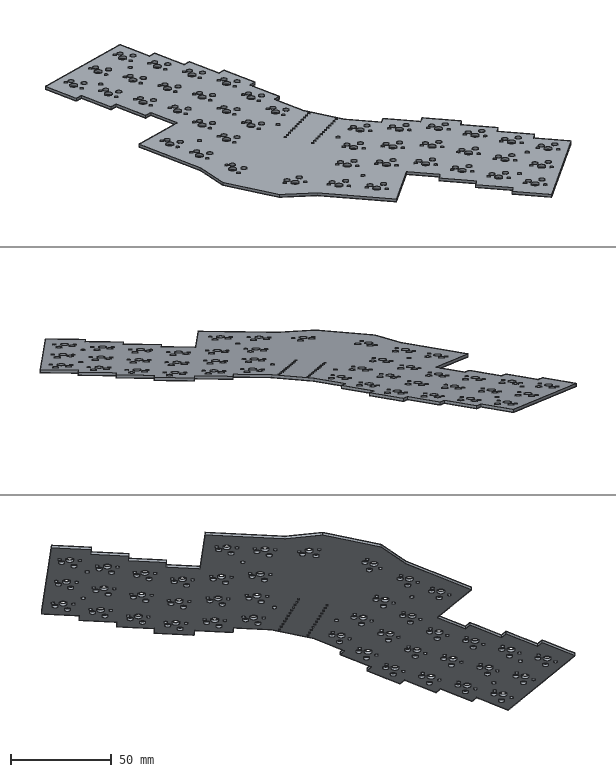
import cadquery as cq
import math


THICKNESS = 1.6
HALF_TILT = 15.0
TOP_EDGE_Y = 30.3
BOTTOM_EDGE_Y = -56.285
EDGE_MARGIN = 0.47

KEY_PITCH = 19.05
KEY_ROWS = 3
FIRST_COLUMN_U = 28.3
HOME_ROW_V = -2.64
COLUMN_STAGGER = 3.98
COLUMN_STEPS = (0, 1, 2, 1, 0, -1)

NOTCH_COLUMN = 2

THUMB_ROW_V = -43.46
THUMB_OUTER_U = 58.45
THUMB_COLUMNS_U = (27.8, 46.85)
INNER_THUMB_X = 17.07
INNER_THUMB_Y = -41.05
INNER_THUMB_TILT = 30.0
WIDE_KEY = 1.25 * KEY_PITCH

FOOTPRINT_GRID = 1.27
POST_DIAMETER = 4.0
POST_POINTS = ((0, 0),)
SIDE_PEG_DIAMETER = 1.75
SIDE_PEG_OFFSET = 4 * FOOTPRINT_GRID
SIDE_PEG_POINTS = ((-SIDE_PEG_OFFSET, 0), (SIDE_PEG_OFFSET, 0))
PIN_DIAMETER = 3.05
PIN_POINTS = (
    (-3 * FOOTPRINT_GRID, 2 * FOOTPRINT_GRID),
    (2 * FOOTPRINT_GRID, 4 * FOOTPRINT_GRID),
)

MOUNT_DIAMETER = 2.1

PERFORATION_DIAMETER = 1.1
PERFORATION_PITCH = 2.54
PERFORATION_COUNT = 12
PERFORATION_LINE_X = 7.5
LOWEST_PERFORATION_Y = 0.75

COLUMN_COUNT = len(COLUMN_STEPS)
HALF_COLUMN_HEIGHT = KEY_ROWS * KEY_PITCH / 2


def turned(u, v, tilt):
    """Turn the point (u, v) about the origin by tilt degrees."""
    angle = math.radians(tilt)
    x = u * math.cos(angle) - v * math.sin(angle)
    y = u * math.sin(angle) + v * math.cos(angle)
    return x, y


def column_u(column):
    return FIRST_COLUMN_U + column * KEY_PITCH


def column_v(column):
    """Height of the middle key of a column."""
    return HOME_ROW_V + COLUMN_STEPS[column] * COLUMN_STAGGER


def stepped_edge(columns, side):
    """Points in u, v along the column ends, inner to outer; side is +1 at the top, -1 below."""
    points = []
    for column, following in zip(columns, columns[1:]):
        end_v = column_v(column) + side * (HALF_COLUMN_HEIGHT + EDGE_MARGIN)
        next_v = column_v(following) + side * (HALF_COLUMN_HEIGHT + EDGE_MARGIN)
        boundary_u = column_u(column) + KEY_PITCH / 2
        if side * (end_v - next_v) > 0:
            step_u = boundary_u + EDGE_MARGIN
        else:
            step_u = boundary_u - EDGE_MARGIN
        points += [(step_u, end_v), (step_u, next_v)]
    return points


def half_outline():
    """Right-hand outline points in x, y, from the top edge round to the bottom edge."""
    last = COLUMN_COUNT - 1
    half_height = HALF_COLUMN_HEIGHT + EDGE_MARGIN
    outer_u = column_u(last) + KEY_PITCH / 2 + EDGE_MARGIN
    thumb_bottom_v = THUMB_ROW_V - KEY_PITCH / 2 - EDGE_MARGIN
    notch_v = column_v(NOTCH_COLUMN) - half_height

    tilt = math.radians(HALF_TILT)
    inner_top_v = column_v(0) + half_height
    top_corner_x = (TOP_EDGE_Y * math.cos(tilt) - inner_top_v) / math.sin(tilt)

    thumb_tilt = math.radians(INNER_THUMB_TILT)
    slope = math.tan(thumb_tilt)
    drop = (WIDE_KEY / 2 + EDGE_MARGIN) / math.cos(thumb_tilt)
    slope_y_at_zero = INNER_THUMB_Y - INNER_THUMB_X * slope - drop
    bottom_corner_x = (BOTTOM_EDGE_Y - slope_y_at_zero) / slope
    thumb_y_at_zero = thumb_bottom_v / math.cos(tilt)
    bend_x = (thumb_y_at_zero - slope_y_at_zero) / (slope - math.tan(tilt))
    bend_y = slope_y_at_zero + bend_x * slope

    tilted = stepped_edge(range(COLUMN_COUNT), 1)
    tilted += [(outer_u, column_v(last) + half_height), (outer_u, column_v(last) - half_height)]
    tilted += reversed(stepped_edge(range(NOTCH_COLUMN, COLUMN_COUNT), -1))
    tilted += [(THUMB_OUTER_U, notch_v), (THUMB_OUTER_U, thumb_bottom_v)]

    points = [(top_corner_x, TOP_EDGE_Y)]
    points += [turned(u, v, HALF_TILT) for u, v in tilted]
    points += [(bend_x, bend_y), (bottom_corner_x, BOTTOM_EDGE_Y)]
    return points


def board():
    right = half_outline()
    left = [(-x, y) for x, y in reversed(right)]
    return cq.Workplane("XY").polyline(right + left).close().extrude(THICKNESS)


def switches():
    """Right-hand switch centres as (x, y, tilt)."""
    placed = [(INNER_THUMB_X, INNER_THUMB_Y, INNER_THUMB_TILT)]
    for u in THUMB_COLUMNS_U:
        placed.append((*turned(u, THUMB_ROW_V, HALF_TILT), HALF_TILT))
    for column in range(COLUMN_COUNT):
        for row in range(KEY_ROWS):
            v = column_v(column) + (row - (KEY_ROWS - 1) / 2) * KEY_PITCH
            placed.append((*turned(column_u(column), v, HALF_TILT), HALF_TILT))
    return placed


def footprint_points(local_points):
    """Place footprint points at every switch; both halves use the same, unmirrored footprint."""
    points = []
    for x, y, tilt in switches():
        for side in (1, -1):
            for local_x, local_y in local_points:
                dx, dy = turned(local_x, local_y, side * tilt)
                points.append((side * x + dx, y + dy))
    return points


def mount_points():
    """Mounting holes on the corners between keys, in both halves."""
    last = COLUMN_COUNT - 1
    half_key = KEY_PITCH / 2
    tilted = [
        (column_u(0) - half_key, column_v(0) + half_key),
        (column_u(0) + half_key, column_v(0) - HALF_COLUMN_HEIGHT),
        (column_u(last) - half_key, column_v(last - 1) + half_key),
        (column_u(last) - half_key, column_v(last) - half_key),
    ]
    right = [turned(u, v, HALF_TILT) for u, v in tilted]
    return right + [(-x, y) for x, y in right]


def perforation_points():
    heights = [LOWEST_PERFORATION_Y + i * PERFORATION_PITCH for i in range(PERFORATION_COUNT)]
    return [(x, y) for x in (-PERFORATION_LINE_X, PERFORATION_LINE_X) for y in heights]


def drill(diameter, points):
    """Cutters for round holes through the full thickness."""
    return cq.Workplane("XY").pushPoints(points).circle(diameter / 2).extrude(THICKNESS)


result = (
    board()
    .cut(drill(POST_DIAMETER, footprint_points(POST_POINTS)))
    .cut(drill(SIDE_PEG_DIAMETER, footprint_points(SIDE_PEG_POINTS)))
    .cut(drill(PIN_DIAMETER, footprint_points(PIN_POINTS)))
    .cut(drill(MOUNT_DIAMETER, mount_points()))
    .cut(drill(PERFORATION_DIAMETER, perforation_points()))
)